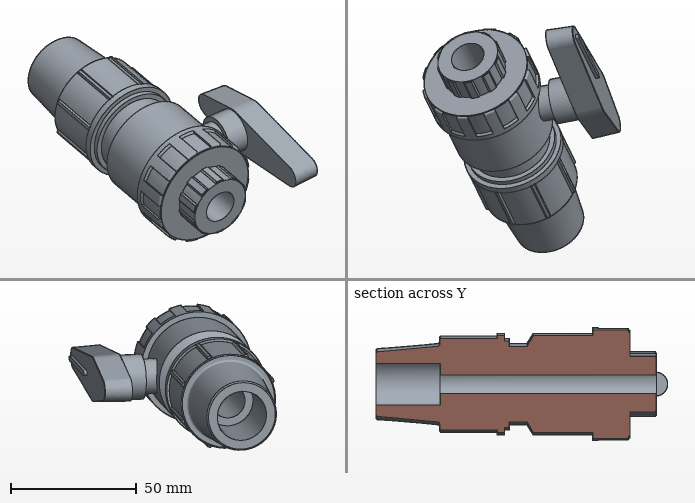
import cadquery as cq
import math

TAPER_END = 24.5
CLAMP_START = 25.5
CLAMP_RIB_START = 26.6
CLAMP_FLANGE_START = 48.4
COLLAR_START = 51.3
NECK_START = 53.2
NECK_END = 60.2
BODY_START = 62.7
NUT_START = 86.4
NUT_RECESS_START = 88.6
NUT_END = 101.2
TAIL_RIB_END = 111.4
TAIL_END = 111.7

TIP_DIA = 28.4
NECK_DIA = 32.4
CLAMP_DIA = 38.5
BODY_DIA = 40.5
COLLAR_DIA = 36.5
NUT_DIA = 45.0
NUT_RECESS_FLOOR_DIA = 43.2
NUT_RIM_DIA = 42.9
NUT_RIM_LENGTH = 0.5
NUT_ROUNDING = 0.7
TAIL_DIA = 24.9
BORE_DIA = 13.5
SOCKET_DIA = 20.0
SOCKET_DEPTH = 25.6
TIP_CHAMFER = 0.6
CLAMP_CHAMFER_LENGTH = 0.3
CLAMP_CHAMFER_HEIGHT = 0.5

CLAMP_RIB_COUNT = 8
CLAMP_RIB_TOP_RADIUS = 20.1
CLAMP_RIB_TOP_WIDTH = 1.2
CLAMP_RIB_BASE_WIDTH = 2.2

NUT_RECESS_COUNT = 12
NUT_RECESS_WIDTH = 6.7
NUT_RECESS_RAMP = 0.8

TAIL_RIB_COUNT = 10
TAIL_RIB_TOP_RADIUS = 12.9
TAIL_RIB_TOP_WIDTH = 2.8
TAIL_RIB_BASE_WIDTH = 4.1

STEM_X = 74.5
STEM_DIA = 14.0
HUB_DIA = 18.0
STEM_BASE_Y = 14.0
HUB_START_Y = 24.9
HANDLE_START_Y = 33.8
HANDLE_END_Y = 45.0
MARKER_END_Y = 46.32
HANDLE_LEFT_X = 50.1
HANDLE_RIGHT_X = 116.2
HANDLE_END_RADIUS = 4.8
HANDLE_HUB_RADIUS = 9.5
HANDLE_DRAFT = 2.5
HANDLE_CHAMFER = 0.2
MARKER_START_X = 84.0
MARKER_END_X = 112.0
MARKER_WIDTH = 2.0

ROOT_OVERLAP = 0.6


def turned_body():
    """Solid of revolution: all coaxial outside diameters, the bore and the pipe socket."""
    tip_radius = TIP_DIA / 2
    neck_radius = NECK_DIA / 2
    nut_radius = NUT_DIA / 2
    fillet = CLAMP_START - TAPER_END
    fillet_mid = fillet * math.sqrt(0.5)
    rounding_mid = NUT_ROUNDING * math.sqrt(0.5)
    rim_x = NUT_END - NUT_RIM_LENGTH
    profile = (
        cq.Workplane("XY")
        .moveTo(0, SOCKET_DIA / 2)
        .lineTo(0, tip_radius - TIP_CHAMFER)
        .lineTo(TIP_CHAMFER, tip_radius)
        .lineTo(TAPER_END, neck_radius)
        .threePointArc(
            (TAPER_END + fillet_mid, neck_radius + fillet - fillet_mid),
            (CLAMP_START, neck_radius + fillet),
        )
        .lineTo(CLAMP_START, CLAMP_DIA / 2 - CLAMP_CHAMFER_HEIGHT)
        .lineTo(CLAMP_START + CLAMP_CHAMFER_LENGTH, CLAMP_DIA / 2)
        .lineTo(CLAMP_FLANGE_START, CLAMP_DIA / 2)
        .lineTo(CLAMP_FLANGE_START, BODY_DIA / 2)
        .lineTo(COLLAR_START, BODY_DIA / 2)
        .lineTo(COLLAR_START, COLLAR_DIA / 2)
        .lineTo(NECK_START, COLLAR_DIA / 2)
        .lineTo(NECK_START, neck_radius)
        .lineTo(NECK_END, neck_radius)
        .lineTo(BODY_START, BODY_DIA / 2)
        .lineTo(NUT_START, BODY_DIA / 2)
        .lineTo(NUT_START, nut_radius)
        .lineTo(rim_x - NUT_ROUNDING, nut_radius)
        .threePointArc(
            (rim_x - NUT_ROUNDING + rounding_mid, nut_radius - NUT_ROUNDING + rounding_mid),
            (rim_x, nut_radius - NUT_ROUNDING),
        )
        .lineTo(rim_x, NUT_RIM_DIA / 2)
        .lineTo(NUT_END, NUT_RIM_DIA / 2)
        .lineTo(NUT_END, TAIL_DIA / 2)
        .lineTo(TAIL_END, TAIL_DIA / 2)
        .lineTo(TAIL_END, BORE_DIA / 2)
        .lineTo(SOCKET_DEPTH, BORE_DIA / 2)
        .lineTo(SOCKET_DEPTH, SOCKET_DIA / 2)
        .close()
    )
    return profile.revolve(360, (0, 0, 0), (1, 0, 0))


def axial_rib(start_x, end_x, carrier_radius, top_radius, top_width, base_width):
    """Trapezoid rib along X on the +Y side, running outward from carrier_radius."""
    base_y = math.sqrt(carrier_radius**2 - (base_width / 2) ** 2)
    flank = (base_width - top_width) / 2 / (top_radius - base_y)
    root_y = base_y - ROOT_OVERLAP
    root_half_width = base_width / 2 + flank * ROOT_OVERLAP
    return (
        cq.Workplane("YZ", origin=(start_x, 0, 0))
        .polyline(
            [
                (root_y, -root_half_width),
                (top_radius, -top_width / 2),
                (top_radius, top_width / 2),
                (root_y, root_half_width),
            ]
        )
        .close()
        .extrude(end_x - start_x)
    )


def nut_recess():
    """Grip recess on the +Y side: round floor, sloped start, open at the nut end."""
    floor_radius = NUT_RECESS_FLOOR_DIA / 2
    outer_radius = NUT_DIA / 2
    clearance = 1.2
    slope = NUT_RECESS_RAMP / (outer_radius - floor_radius)
    ring = (
        cq.Workplane("XY")
        .polyline(
            [
                (NUT_RECESS_START + NUT_RECESS_RAMP, floor_radius),
                (NUT_RECESS_START - slope * clearance, outer_radius + clearance),
                (NUT_END, outer_radius + clearance),
                (NUT_END, floor_radius),
            ]
        )
        .close()
        .revolve(360, (0, 0, 0), (1, 0, 0))
    )
    length = 2 * (NUT_END - NUT_RECESS_START)
    band = cq.Workplane("XY").box(length, NUT_DIA, NUT_RECESS_WIDTH)
    return ring.intersect(band.translate((NUT_END, NUT_DIA / 2, 0)))


def around_axis(shape, count, first_angle):
    """Copies of shape spaced evenly around the flow axis."""
    copies = []
    for index in range(count):
        angle = first_angle + 360 / count * index
        copies.append(shape.rotate((0, 0, 0), (1, 0, 0), angle))
    return copies


def handle():
    """Drafted lever: three circles in a row joined by their common tangents."""
    left_x = HANDLE_LEFT_X + HANDLE_END_RADIUS
    right_x = HANDLE_RIGHT_X - HANDLE_END_RADIUS
    rise = HANDLE_HUB_RADIUS - HANDLE_END_RADIUS
    left_lean = math.pi / 2 + math.asin(rise / (STEM_X - left_x))
    right_lean = math.pi / 2 - math.asin(rise / (right_x - STEM_X))

    def rim_point(center_x, radius, angle):
        return (center_x + radius * math.cos(angle), radius * math.sin(angle))

    def hub_point(angle):
        return rim_point(STEM_X, HANDLE_HUB_RADIUS, angle)

    outline = (
        cq.Workplane("XZ", origin=(0, HANDLE_START_Y, 0))
        .moveTo(*rim_point(left_x, HANDLE_END_RADIUS, left_lean))
        .lineTo(*hub_point(left_lean))
        .threePointArc(hub_point((left_lean + right_lean) / 2), hub_point(right_lean))
        .lineTo(*rim_point(right_x, HANDLE_END_RADIUS, right_lean))
        .threePointArc(
            (HANDLE_RIGHT_X, 0),
            rim_point(right_x, HANDLE_END_RADIUS, -right_lean),
        )
        .lineTo(*hub_point(-right_lean))
        .threePointArc(hub_point(-(left_lean + right_lean) / 2), hub_point(-left_lean))
        .lineTo(*rim_point(left_x, HANDLE_END_RADIUS, -left_lean))
        .threePointArc(
            (HANDLE_LEFT_X, 0),
            rim_point(left_x, HANDLE_END_RADIUS, left_lean),
        )
        .close()
    )
    lever = outline.extrude(HANDLE_START_Y - HANDLE_END_Y, taper=HANDLE_DRAFT)
    return lever.faces(">Y").chamfer(HANDLE_CHAMFER)


def post(diameter, start_y, end_y):
    """Round post along Y on the stem axis."""
    base = cq.Workplane("XZ", origin=(STEM_X, start_y, 0))
    return base.circle(diameter / 2).extrude(start_y - end_y)


def marker():
    """Slim bar with round ends on the outer face of the handle."""
    center_x = (MARKER_START_X + MARKER_END_X) / 2
    base = cq.Workplane("XZ", origin=(center_x, HANDLE_END_Y, 0))
    bar = base.slot2D(MARKER_END_X - MARKER_START_X, MARKER_WIDTH)
    return bar.extrude(HANDLE_END_Y - MARKER_END_Y)


result = turned_body()

for recess in around_axis(nut_recess(), NUT_RECESS_COUNT, 0):
    result = result.cut(recess)

clamp_rib = axial_rib(
    CLAMP_RIB_START,
    CLAMP_FLANGE_START,
    CLAMP_DIA / 2,
    CLAMP_RIB_TOP_RADIUS,
    CLAMP_RIB_TOP_WIDTH,
    CLAMP_RIB_BASE_WIDTH,
)
for rib in around_axis(clamp_rib, CLAMP_RIB_COUNT, 180 / CLAMP_RIB_COUNT):
    result = result.union(rib)

tail_rib = axial_rib(
    NUT_END,
    TAIL_RIB_END,
    TAIL_DIA / 2,
    TAIL_RIB_TOP_RADIUS,
    TAIL_RIB_TOP_WIDTH,
    TAIL_RIB_BASE_WIDTH,
)
for rib in around_axis(tail_rib, TAIL_RIB_COUNT, 180 / TAIL_RIB_COUNT):
    result = result.union(rib)

result = (
    result.union(post(STEM_DIA, STEM_BASE_Y, HUB_START_Y))
    .union(post(HUB_DIA, HUB_START_Y, HANDLE_START_Y))
    .union(handle())
    .union(marker())
)